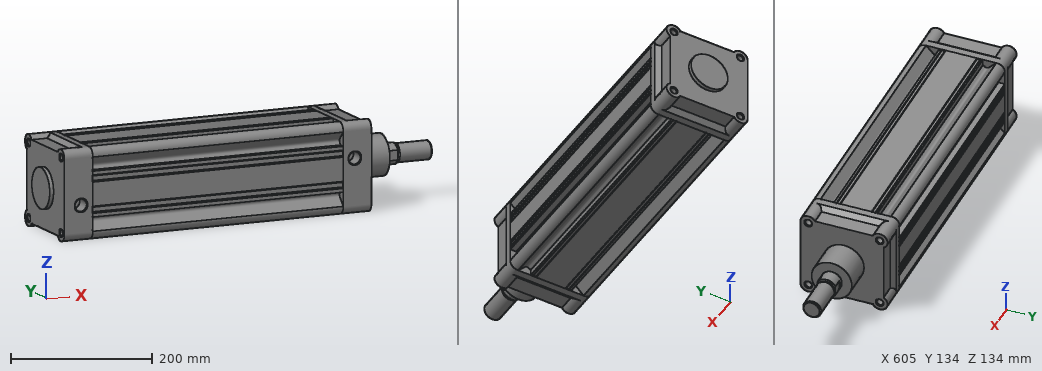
import cadquery as cq
import math


BODY_WIDTH = 134.0
HALF_WIDTH = BODY_WIDTH / 2
CORNER_RADIUS = 12.0
CORNER_CENTRE = HALF_WIDTH - CORNER_RADIUS

TOTAL_LENGTH = 605.0
SPIGOT_LENGTH = 6.0
CAP_LENGTH = 44.0
TUBE_LENGTH = 391.0
NOSE_LENGTH = 45.5
TUBE_START = SPIGOT_LENGTH + CAP_LENGTH
TUBE_END = TUBE_START + TUBE_LENGTH
FRONT_FACE = TUBE_END + CAP_LENGTH
NOSE_END = FRONT_FACE + NOSE_LENGTH

NOSE_RADIUS = 31.0
SPIGOT_RADIUS = 30.0
SCREW_HOLE_RADIUS = 5.0
SCREW_CHAMFER = 1.0
PORT_RADIUS = 9.0
PORT_CHAMFER = 1.0
PORT_DEPTH = 24.0
PORT_INSET = 26.0
PORT_OFFSET = 14.5
POCKET_DEPTH = 6.0
POCKET_FLOOR_LENGTH = 24.0
POCKET_MOUTH_LENGTH = 32.5

SLOT_OUTER_EDGE = 54.0
SLOT_INNER_EDGE = 33.0
SLOT_BOTTOM = 40.0
SLOT_BOTTOM_DEPTH = SLOT_OUTER_EDGE - SLOT_BOTTOM
SLOT_WALL_DEPTH = 9.5
SLOT_FILLET = 4.0

GROOVE_DEPTH = 2.0
SIDE_GROOVE = (17.5, 28.0)
SIDE_GROOVE_DRAFT = 2.0
TOP_GROOVE = (24.0, 29.5)
TOP_GROOVE_DRAFT = 0.0

COLLAR_RADIUS = 16.0
COLLAR_LENGTH = 20.0
FLAT_START = 5.5
FLAT_DISTANCE = 14.0
NECK_LENGTH = 2.0
THREAD_RADIUS = 14.0
THREAD_CHAMFER = 2.0
NECK_RADIUS = THREAD_RADIUS - THREAD_CHAMFER


def cylinder_along_x(start, length, radius):
    """Cylinder on the X axis."""
    return cq.Workplane("YZ", origin=(start, 0, 0)).circle(radius).extrude(length)


def square_bar(start, length):
    """Square bar along X with rounded corners."""
    bar = cq.Workplane("YZ", origin=(start, 0, 0)).rect(BODY_WIDTH, BODY_WIDTH).extrude(length)
    return bar.edges("|X").fillet(CORNER_RADIUS)


def corner_points():
    """Y, Z centres of the four rounded corners."""
    return [(y, z) for y in (-CORNER_CENTRE, CORNER_CENTRE) for z in (-CORNER_CENTRE, CORNER_CENTRE)]


def pocket_cutter():
    """Pocket in the top of the rear cap: open to the end face, closed by a sloping wall.

    Its sides follow the round corner lobes, which stay standing around the screw holes.
    """
    floor_height = HALF_WIDTH - POCKET_DEPTH
    rise = floor_height - CORNER_CENTRE
    floor_half_width = CORNER_CENTRE - math.sqrt(CORNER_RADIUS**2 - rise**2)
    arc_angle = (math.asin(rise / CORNER_RADIUS) + math.pi / 2) / 2
    arc_y = CORNER_CENTRE - CORNER_RADIUS * math.cos(arc_angle)
    arc_z = CORNER_CENTRE + CORNER_RADIUS * math.sin(arc_angle)
    across = (
        cq.Workplane("YZ", origin=(SPIGOT_LENGTH, 0, 0))
        .moveTo(-floor_half_width, floor_height)
        .lineTo(floor_half_width, floor_height)
        .threePointArc((arc_y, arc_z), (CORNER_CENTRE, HALF_WIDTH))
        .lineTo(-CORNER_CENTRE, HALF_WIDTH)
        .threePointArc((-arc_y, arc_z), (-floor_half_width, floor_height))
        .close()
        .extrude(POCKET_MOUTH_LENGTH)
    )
    along = (
        cq.Workplane("XZ")
        .polyline([
            (0, HALF_WIDTH),
            (POCKET_MOUTH_LENGTH, HALF_WIDTH),
            (POCKET_FLOOR_LENGTH, floor_height),
            (0, floor_height),
        ])
        .close()
        .extrude(HALF_WIDTH, both=True)
        .translate((SPIGOT_LENGTH, 0, 0))
    )
    return across.intersect(along)


def chamfered_drill(radius, depth, chamfer):
    """Drill along +Z from Z = 0 with a conical mouth."""
    outline = [(0, 0), (radius + chamfer, 0), (radius, chamfer), (radius, depth), (0, depth)]
    return cq.Workplane("XZ").polyline(outline).close().revolve(360, (0, 0, 0), (0, 1, 0))


def cap_block():
    """Cap block at the rear end: pockets on three sides, screw holes and the port on -Y."""
    block = square_bar(SPIGOT_LENGTH, CAP_LENGTH)
    for angle in (0, 180, 270):
        block = block.cut(pocket_cutter().rotate((0, 0, 0), (1, 0, 0), angle))
    screw_drill = chamfered_drill(SCREW_HOLE_RADIUS, CAP_LENGTH, SCREW_CHAMFER)
    screw_drill = screw_drill.rotate((0, 0, 0), (0, 1, 0), 90)
    for y, z in corner_points():
        block = block.cut(screw_drill.translate((SPIGOT_LENGTH, y, z)))
    port_drill = chamfered_drill(PORT_RADIUS, PORT_DEPTH, PORT_CHAMFER).rotate((0, 0, 0), (1, 0, 0), -90)
    return block.cut(port_drill.translate((SPIGOT_LENGTH + PORT_INSET, -HALF_WIDTH, -PORT_OFFSET)))


def make_rear_cap():
    spigot = cylinder_along_x(0, SPIGOT_LENGTH, SPIGOT_RADIUS)
    return cap_block().union(spigot)


def make_front_cap():
    """The rear cap block turned half a turn about Y, which also lifts its port, plus the long nose."""
    block = cap_block().rotate((0, 0, 0), (0, 1, 0), 180)
    block = block.translate((FRONT_FACE + SPIGOT_LENGTH, 0, 0))
    return block.union(cylinder_along_x(FRONT_FACE, NOSE_LENGTH, NOSE_RADIUS))


def bar_cutter(outline):
    """Cutter along the whole tube from (position, depth) points on its top side."""
    points = [(position, HALF_WIDTH - depth) for position, depth in outline]
    return cq.Workplane("YZ", origin=(TUBE_START, 0, 0)).polyline(points).close().extrude(TUBE_LENGTH)


def slot_cutter():
    """Deep slot with one upright wall, one 45 degree wall and a rounded bottom."""
    slot = bar_cutter([
        (SLOT_OUTER_EDGE, 0),
        (SLOT_BOTTOM, SLOT_BOTTOM_DEPTH),
        (SLOT_INNER_EDGE, SLOT_WALL_DEPTH),
        (SLOT_INNER_EDGE, 0),
    ])
    bottom_point = (TUBE_START, SLOT_BOTTOM, HALF_WIDTH - SLOT_BOTTOM_DEPTH)
    bottom_edge = slot.edges("|X").edges(cq.selectors.NearestToPointSelector(bottom_point))
    return bottom_edge.fillet(SLOT_FILLET)


def groove_cutter(edges, draft):
    """Shallow flat groove between two positions, with its walls leaning by the draft."""
    inner, outer = edges
    return bar_cutter([
        (inner, 0),
        (inner + draft, GROOVE_DEPTH),
        (outer - draft, GROOVE_DEPTH),
        (outer, 0),
    ])


def make_tube():
    tube = square_bar(TUBE_START, TUBE_LENGTH)
    top_groove = groove_cutter(TOP_GROOVE, TOP_GROOVE_DRAFT)
    side_groove = groove_cutter(SIDE_GROOVE, SIDE_GROOVE_DRAFT)
    for angle, groove in ((0, top_groove), (90, side_groove), (180, top_groove), (270, side_groove)):
        for cutter in (slot_cutter(), groove):
            for half in (cutter, cutter.mirror("XZ")):
                tube = tube.cut(half.rotate((0, 0, 0), (1, 0, 0), angle))
    return tube


def make_piston_rod():
    """Collar with two wrench flats, a neck and the threaded end, standing on the nose."""
    collar = cylinder_along_x(NOSE_END, COLLAR_LENGTH, COLLAR_RADIUS)
    flat_length = COLLAR_LENGTH - FLAT_START
    flat_height = COLLAR_RADIUS - FLAT_DISTANCE
    for side in (-1, 1):
        flat_origin = (NOSE_END + FLAT_START, side * (FLAT_DISTANCE + flat_height / 2), 0)
        flat = cq.Workplane("XY", origin=flat_origin)
        flat = flat.box(flat_length, flat_height, 2 * COLLAR_RADIUS, centered=(False, True, True))
        collar = collar.cut(flat)
    neck_start = NOSE_END + COLLAR_LENGTH
    thread_start = neck_start + NECK_LENGTH
    neck = cylinder_along_x(neck_start, NECK_LENGTH, NECK_RADIUS)
    thread = cylinder_along_x(thread_start, TOTAL_LENGTH - thread_start, THREAD_RADIUS)
    thread = thread.edges("%CIRCLE").chamfer(THREAD_CHAMFER)
    return collar.union(neck).union(thread)


rear_cap = make_rear_cap()
front_cap = make_front_cap()
tube = make_tube()
piston_rod = make_piston_rod()

result = cq.Compound.makeCompound([rear_cap.val(), front_cap.val(), tube.val(), piston_rod.val()])